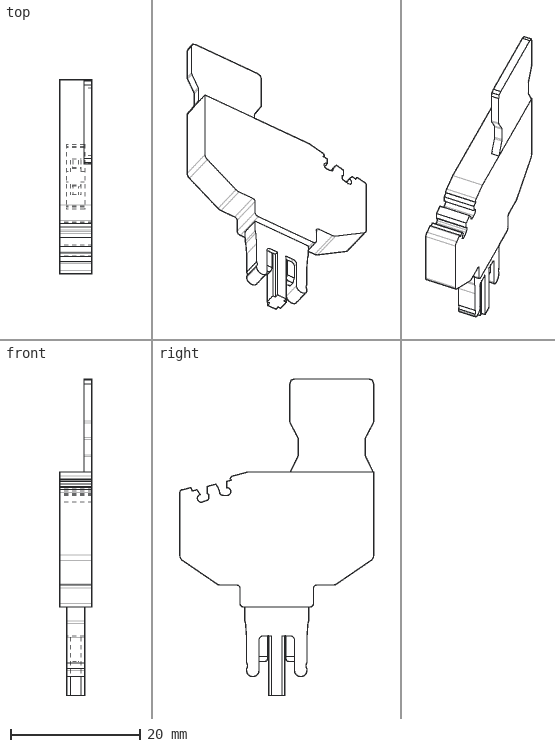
import cadquery as cq
import math

thickness = 5.0
length = 30.0
overall_height = 48.98
half_thickness = thickness / 2
half_length = length / 2

housing_top = 20.93
shoulder_z = 3.4
shoulder_half_width = 9.0
flank_z = 7.5
flank_radius = 1.0
neck_half_width = 5.7
neck_root_radius = 0.45
neck_tip_radius = 0.6

snap_slope_angle = 15.0
lip_start = (-4.4, housing_top)
lip_end_y = -6.8
lip_round_middle = (-7.08, 20.12)
lip_round_end = (-7.2, 19.85)
ledge_start = (-7.0, 19.65)

first_slot_y = -7.75
first_undercut_z = 18.45
first_undercut_middle = (-7.12, 17.85)
first_floor_z = 17.28
first_floor_end_y = -8.2
first_corner_start = (-8.5, 17.33)
first_corner_middle = (-8.7, 17.44)
first_corner_end = (-8.8, 17.7)
tooth_flank_middle = (-9.0, 18.35)
tooth_peak = (-9.42, 19.03)

second_slot_y = -10.75
second_undercut_y = -10.54
second_undercut_z = 17.55
second_undercut_drop = 0.1
second_corner_start = (second_undercut_y, 16.8)
second_corner_middle = (-10.6, 16.63)
second_corner_end = (-10.78, 16.53)
second_floor_end = (-11.6, 16.24)
second_undercut_middle = (-12.24, 16.7)
second_undercut_end = (-11.82, 17.4)

step_start = (-12.34, 18.17)
step_end_y = -13.08
end_tooth_foot = (-13.18, 18.35)
end_tooth_round = (-13.27, 18.45)
end_tooth_start = (-13.4, 18.47)
end_tooth_y = -14.46
end_round_middle = (-14.85, 18.05)
end_round_z = 17.75

tab_top = 35.3
tab_thickness = 1.25
tab_width = 13.0
tab_center_y = half_length - tab_width / 2
tab_foot_half_width = 6.4
tab_waist_half_width = 5.2
tab_waist_low_z = 23.4
tab_waist_high_z = 26.1
tab_shoulder_z = 28.6
tab_corner_size = 0.8
tab_corner_break = 0.2
tab_bend_radius = 0.6
bend_margin = 0.1

contact_thickness = 2.8
root_half_width = 4.95
root_bottom_z = -2.1
step_half_width = 4.84
step_z = -2.5
prong_outer_y = 4.68
prong_taper_z = -4.7
prong_inner_y = 2.73
prong_tip_radius = (prong_outer_y - prong_inner_y) / 2
prong_center_y = (prong_outer_y + prong_inner_y) / 2
prong_tip_z = -10.75
prong_round_z = prong_tip_z + prong_tip_radius
groove_top_z = -8.62
groove_bottom_z = -9.5
groove_depth = 0.15
slot_top_z = -4.45
slot_corner_radius = 0.6

core_thickness = 1.62
blade_tip_z = tab_top - overall_height
blade_core_half_width = 0.8
blade_half_width = 1.27
web_inner_y = 1.42
web_bottom_z = -8.4
web_chamfer_length = 0.75
web_chamfer_depth = 0.4
web_corner_radius = 0.4
web_top_z = slot_top_z + 1.0


def side_sketch(x):
    """Workplane at the given X whose local axes are Y and Z, extruding towards +X."""
    return cq.Workplane("YZ", origin=(x, 0, 0))


def down_slope(start, y):
    """Point at the given Y on the snap edge slope that falls from start towards -Y."""
    start_y, start_z = start
    return (y, start_z - (start_y - y) * math.tan(math.radians(snap_slope_angle)))


def make_housing():
    body = (
        side_sketch(-half_thickness)
        .moveTo(half_length, housing_top)
        .lineTo(*lip_start)
        .lineTo(*down_slope(lip_start, lip_end_y))
        .threePointArc(lip_round_middle, lip_round_end)
        .lineTo(*ledge_start)
        .lineTo(*down_slope(ledge_start, first_slot_y))
        .lineTo(first_slot_y, first_undercut_z)
        .threePointArc(first_undercut_middle, (first_slot_y, first_floor_z))
        .lineTo(first_floor_end_y, first_floor_z)
        .lineTo(*first_corner_start)
        .threePointArc(first_corner_middle, first_corner_end)
        .threePointArc(tooth_flank_middle, tooth_peak)
        .lineTo(*down_slope(tooth_peak, second_slot_y))
        .lineTo(second_slot_y, second_undercut_z)
        .lineTo(second_undercut_y, second_undercut_z - second_undercut_drop)
        .lineTo(*second_corner_start)
        .threePointArc(second_corner_middle, second_corner_end)
        .lineTo(*second_floor_end)
        .threePointArc(second_undercut_middle, second_undercut_end)
        .lineTo(*step_start)
        .lineTo(*down_slope(step_start, step_end_y))
        .lineTo(*end_tooth_foot)
        .threePointArc(end_tooth_round, end_tooth_start)
        .lineTo(*down_slope(end_tooth_start, end_tooth_y))
        .threePointArc(end_round_middle, (-half_length, end_round_z))
        .lineTo(-half_length, flank_z)
        .lineTo(-shoulder_half_width, shoulder_z)
        .lineTo(-neck_half_width, shoulder_z)
        .lineTo(-neck_half_width, 0)
        .lineTo(neck_half_width, 0)
        .lineTo(neck_half_width, shoulder_z)
        .lineTo(shoulder_half_width, shoulder_z)
        .lineTo(half_length, flank_z)
        .close()
        .extrude(thickness)
    )
    for side in (-1, 1):
        for y, z, radius in (
            (half_length, flank_z, flank_radius),
            (shoulder_half_width, shoulder_z, flank_radius),
            (neck_half_width, shoulder_z, neck_root_radius),
            (neck_half_width, 0, neck_tip_radius),
        ):
            corner = cq.selectors.NearestToPointSelector((0, side * y, z))
            body = body.edges("|X").edges(corner).fillet(radius)
    return body


def make_tab():
    half_width = tab_width / 2
    half_outline = [
        (tab_foot_half_width, housing_top),
        (tab_waist_half_width, tab_waist_low_z),
        (tab_waist_half_width, tab_waist_high_z),
        (half_width, tab_shoulder_z),
        (half_width, tab_top - tab_corner_size),
        (half_width - tab_corner_break, tab_top - tab_corner_break),
        (half_width - tab_corner_size, tab_top),
    ]
    right = [(tab_center_y - y, z) for y, z in half_outline]
    left = [(tab_center_y + y, z) for y, z in reversed(half_outline)]
    tab = (
        side_sketch(half_thickness - tab_thickness)
        .polyline(right + left)
        .close()
        .extrude(tab_thickness)
    )
    bends = cq.selectors.BoxSelector(
        (-thickness, -length, tab_waist_low_z - bend_margin),
        (thickness, length, tab_shoulder_z + bend_margin),
    )
    return tab.edges("|X").edges(bends).fillet(tab_bend_radius)


def make_prong_half(side):
    """Full-thickness contact outline on one side of the blade axis."""
    groove_mid_z = (groove_top_z + groove_bottom_z) / 2
    return (
        side_sketch(-contact_thickness / 2)
        .moveTo(0, 0)
        .lineTo(side * root_half_width, 0)
        .lineTo(side * root_half_width, root_bottom_z)
        .lineTo(side * step_half_width, step_z)
        .lineTo(side * prong_outer_y, prong_taper_z)
        .lineTo(side * prong_outer_y, groove_top_z)
        .threePointArc(
            (side * (prong_outer_y - groove_depth), groove_mid_z),
            (side * prong_outer_y, groove_bottom_z),
        )
        .lineTo(side * prong_outer_y, prong_round_z)
        .threePointArc(
            (side * prong_center_y, prong_tip_z),
            (side * prong_inner_y, prong_round_z),
        )
        .lineTo(side * prong_inner_y, slot_top_z - slot_corner_radius)
        .radiusArc(
            (side * (prong_inner_y - slot_corner_radius), slot_top_z),
            -side * slot_corner_radius,
        )
        .lineTo(side * blade_core_half_width, slot_top_z)
        .lineTo(side * blade_core_half_width, blade_tip_z)
        .lineTo(0, blade_tip_z)
        .close()
        .extrude(contact_thickness)
    )


def make_web(side):
    """Thin web between prong and blade, chamfered on both faces at its lower end."""
    width = prong_center_y - web_inner_y
    height = web_top_z - web_bottom_z
    web = (
        cq.Workplane("XY")
        .box(core_thickness, width, height)
        .translate((0, side * (web_inner_y + width / 2), web_bottom_z + height / 2))
    )
    inner = "<Y" if side > 0 else ">Y"
    web = web.edges("|X").edges("<Z").edges(inner).fillet(web_corner_radius)
    taper_top_z = web_bottom_z + web_chamfer_length
    half_core = core_thickness / 2
    for face in (-1, 1):
        wedge = (
            cq.Workplane("XZ", origin=(0, root_half_width, 0))
            .moveTo(face * half_core, taper_top_z)
            .lineTo(face * half_core, web_bottom_z)
            .lineTo(face * (half_core - web_chamfer_depth), web_bottom_z)
            .close()
            .extrude(2 * root_half_width)
        )
        web = web.cut(wedge)
    return web


def make_contact():
    arms = (
        cq.Workplane("XY", origin=(0, 0, blade_tip_z))
        .rect(core_thickness, 2 * blade_half_width)
        .extrude(slot_top_z - blade_tip_z)
    )
    contact = make_prong_half(1).union(make_prong_half(-1)).union(arms)
    for side in (-1, 1):
        contact = contact.union(make_web(side))
    return contact.clean()


housing = make_housing()
tab = make_tab()
contact = make_contact()

result = cq.Compound.makeCompound([housing.val(), tab.val(), contact.val()])